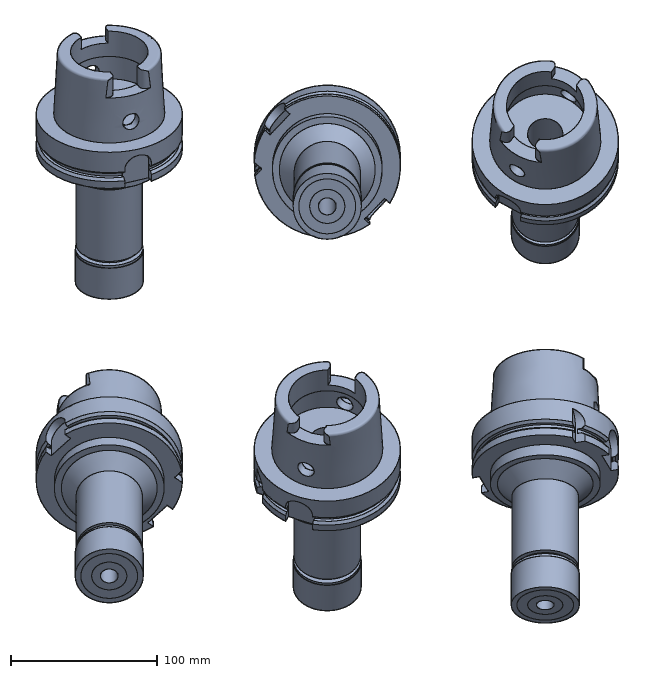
import cadquery as cq

total_length = 185.0
face_z = 135.0
flange_bottom_z = face_z - 29.0
collar_bottom_z = 97.7
cone_bottom_z = 87.7
shaft_bottom_z = 30.2
nut_height = 27.0

flange_diameter = 100.0
taper_base_diameter = 76.0
taper_top_diameter = 71.0
rim_round = 2.0
collar_diameter = 75.1
shaft_diameter = 45.5
cone_top_diameter = shaft_diameter + 2 * (collar_bottom_z - cone_bottom_z)
neck_diameter = 38.8

groove_diameter = 92.0
groove_center_z = face_z - 20.0
groove_floor_width = 3.5
groove_bevel = 1.8

bore_diameter = 53.0
bore_bottom_z = total_length - 20.4
cavity_diameter = 62.2
cavity_floor_z = total_length - 41.3
access_hole_diameter = 12.0
access_hole_z = face_z + 14.8

drive_slot_width = 20.0
drive_flat_distance = 32.2
drive_corner_radius = 4.0
left_drive_slot_depth = 9.6
right_drive_slot_depth = 14.8

keyway_radius = 10.0
keyway_arc_z = face_z - 15.0
keyway_floor_distance = 44.0
notch_floor_distance = 31.8
notch_wall_y = 31.6

nut_diameter = 46.6
nut_lip_diameter = 46.2
nut_lip_height = 1.8
nut_bevel = (nut_diameter - nut_lip_diameter) / 2

collet_diameter = 24.0
collet_bore_diameter = 12.0
collet_length = 46.2


def disc(diameter, bottom_z, top_z):
    """Solid cylinder on the spindle axis."""
    return cq.Workplane("XY", origin=(0, 0, bottom_z)).circle(diameter / 2).extrude(top_z - bottom_z)


def revolve_outline(outline):
    """Turn (radius, height) points about the spindle axis."""
    return cq.Workplane("YZ").polyline(outline).close().revolve(360, (0, 0), (0, 1))


def holder_blank():
    """Turned outside shape of the holder, with a rounded rim at the open end."""
    groove_top_z = groove_center_z + groove_floor_width / 2
    groove_bottom_z = groove_center_z - groove_floor_width / 2
    neck_radius = neck_diameter / 2
    shaft_radius = shaft_diameter / 2
    collar_radius = collar_diameter / 2
    flange_radius = flange_diameter / 2
    groove_radius = groove_diameter / 2
    outline = [
        (0, 0),
        (neck_radius, 0),
        (neck_radius, shaft_bottom_z),
        (shaft_radius, shaft_bottom_z),
        (shaft_radius, cone_bottom_z),
        (cone_top_diameter / 2, collar_bottom_z),
        (collar_radius, collar_bottom_z),
        (collar_radius, flange_bottom_z),
        (flange_radius, flange_bottom_z),
        (flange_radius, groove_bottom_z - groove_bevel),
        (flange_radius - groove_bevel, groove_bottom_z),
        (groove_radius, groove_bottom_z),
        (groove_radius, groove_top_z),
        (flange_radius - groove_bevel, groove_top_z),
        (flange_radius, groove_top_z + groove_bevel),
        (flange_radius, face_z),
        (taper_base_diameter / 2, face_z),
        (taper_top_diameter / 2, total_length),
        (0, total_length),
    ]
    return revolve_outline(outline).faces(">Z").edges().fillet(rim_round)


def holder_bore():
    """Stepped bore: open end, wider cavity behind it, and the passage that seats the collet."""
    open_end = disc(bore_diameter, bore_bottom_z, total_length)
    cavity = disc(cavity_diameter, cavity_floor_z, bore_bottom_z)
    passage = disc(collet_diameter, 0, cavity_floor_z)
    return open_end.union(cavity).union(passage)


def access_hole():
    """Cross hole along X through both walls of the taper."""
    return (
        cq.Workplane("YZ", origin=(0, 0, access_hole_z))
        .circle(access_hole_diameter / 2)
        .extrude(flange_diameter, both=True)
    )


def to_side(cutter, side):
    """Keep a cutter made for +X (side 1), or mirror it to -X (side -1)."""
    return cutter.mirror("YZ") if side < 0 else cutter


def drive_slot(side, depth):
    """Slot through the taper wall, with the wall beyond it milled flat and the corners rounded."""
    half_width = drive_slot_width / 2
    corner_x = drive_flat_distance - drive_corner_radius
    corner_y = half_width + drive_corner_radius
    reach = flange_diameter / 2
    cutter = (
        cq.Workplane("XY", origin=(0, 0, total_length - depth))
        .moveTo(0, -half_width)
        .lineTo(corner_x, -half_width)
        .tangentArcPoint((drive_flat_distance, -corner_y), relative=False)
        .lineTo(drive_flat_distance, -reach)
        .lineTo(reach, -reach)
        .lineTo(reach, reach)
        .lineTo(drive_flat_distance, reach)
        .lineTo(drive_flat_distance, corner_y)
        .tangentArcPoint((corner_x, half_width), relative=False)
        .lineTo(0, half_width)
        .close()
        .extrude(depth)
    )
    return to_side(cutter, side)


def keyway(side, floor_distance, center_y):
    """Round-topped slot with a flat floor, open at the flange rim and underside."""
    left_y = center_y - keyway_radius
    right_y = center_y + keyway_radius
    cutter = (
        cq.Workplane("YZ", origin=(floor_distance, 0, 0))
        .moveTo(left_y, flange_bottom_z)
        .lineTo(right_y, flange_bottom_z)
        .lineTo(right_y, keyway_arc_z)
        .threePointArc((center_y, keyway_arc_z + keyway_radius), (left_y, keyway_arc_z))
        .close()
        .extrude(flange_diameter)
    )
    return to_side(cutter, side)


def make_holder():
    holder = holder_blank().cut(holder_bore()).cut(access_hole())
    for side, depth in ((-1, left_drive_slot_depth), (1, right_drive_slot_depth)):
        holder = holder.cut(drive_slot(side, depth))
        holder = holder.cut(keyway(side, keyway_floor_distance, 0))
    notch = keyway(-1, notch_floor_distance, notch_wall_y + keyway_radius)
    return holder.cut(notch)


def make_nut():
    """Ring around the holder neck, with a slightly smaller lip at its upper end."""
    lip_bottom_z = nut_height - nut_lip_height
    outline = [
        (neck_diameter / 2, 0),
        (nut_diameter / 2, 0),
        (nut_diameter / 2, lip_bottom_z - nut_bevel),
        (nut_lip_diameter / 2, lip_bottom_z),
        (nut_lip_diameter / 2, nut_height),
        (neck_diameter / 2, nut_height),
    ]
    return revolve_outline(outline)


def make_collet():
    """Sleeve seated in the lower end of the holder passage."""
    return disc(collet_diameter, 0, collet_length).cut(disc(collet_bore_diameter, 0, collet_length))


holder = make_holder()
nut = make_nut()
collet = make_collet()

result = cq.Compound.makeCompound([body.solids().val() for body in (holder, nut, collet)])